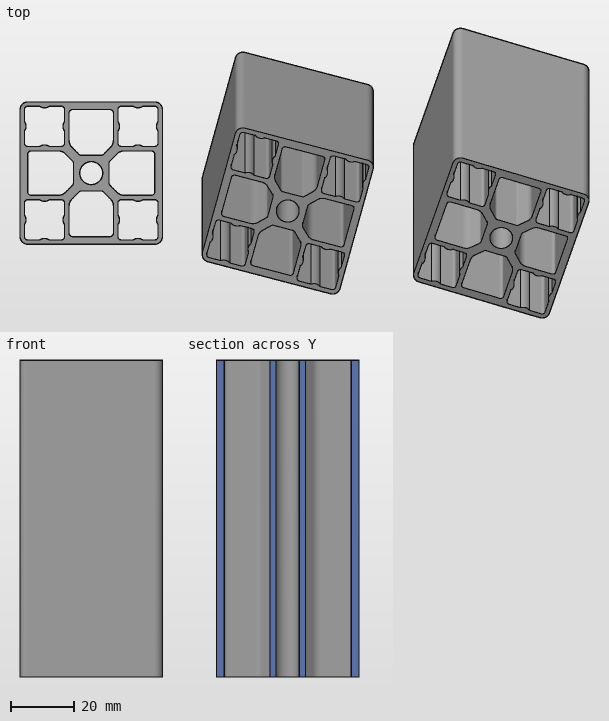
import cadquery as cq
import math

side = 45.0
length = 100.0
outer_radius = 2.5
bore_diameter = 7.2

middle_skin = 2.5
middle_half_width = 6.95
middle_inner = 5.65
middle_outer = side / 2 - middle_skin
middle_radius = 1.0
middle_chamfer = 3.4
shoulder_radius = 3.0
neck_radius = 1.0

cell_skin = 1.45
rib = 1.5
cell_radius = 1.0

ridge_height = 0.5
ridge_half_width = 1.5

cell_outer = side / 2 - cell_skin
cell_inner = middle_half_width + rib
cell_centre = (cell_outer + cell_inner) / 2
cell_half = (cell_outer - cell_inner) / 2


def rotate(point, quarter_turns):
    """Turn a 2D point about the origin by whole quarter turns."""
    x, y = point
    for _ in range(quarter_turns):
        x, y = -y, x
    return x, y


def corner_cell():
    """Square cell with a rounded ridge in the middle of every wall."""
    wall = -cell_half
    crest = wall + ridge_height
    corner_start = cell_half - cell_radius
    corner_mid = corner_start + cell_radius * math.sqrt(0.5)

    profile = cq.Workplane("XY").moveTo(-corner_start, wall)
    for turn in range(4):
        ridge_start = rotate((-ridge_half_width, wall), turn)
        ridge_crest = rotate((0, crest), turn)
        ridge_end = rotate((ridge_half_width, wall), turn)
        arc_start = rotate((corner_start, wall), turn)
        arc_mid = rotate((corner_mid, -corner_mid), turn)
        arc_end = rotate((cell_half, -corner_start), turn)
        profile = (
            profile.lineTo(*ridge_start)
            .threePointArc(ridge_crest, ridge_end)
            .lineTo(*arc_start)
            .threePointArc(arc_mid, arc_end)
        )
    return profile.close().extrude(length)


def middle_cell():
    """Cell on the +X side whose two corners nearest the bore are cut at 45 degrees."""
    shoulder_x = middle_inner + middle_chamfer
    neck_half_width = middle_half_width - middle_chamfer
    cell = (
        cq.Workplane("XY")
        .moveTo(middle_outer, -middle_half_width)
        .lineTo(middle_outer, middle_half_width)
        .lineTo(shoulder_x, middle_half_width)
        .lineTo(middle_inner, neck_half_width)
        .lineTo(middle_inner, -neck_half_width)
        .lineTo(shoulder_x, -middle_half_width)
        .close()
        .extrude(length)
    )
    cell = cell.edges("|Z and >X").fillet(middle_radius)
    cell = cell.edges("|Z and <X").fillet(neck_radius)
    for shoulder_y in (-middle_half_width, middle_half_width):
        shoulder = cq.selectors.NearestToPointSelector((shoulder_x, shoulder_y, length / 2))
        cell = cell.edges(shoulder).fillet(shoulder_radius)
    return cell


def square_bar():
    """Square bar with rounded long edges and a bore along its axis."""
    bar = cq.Workplane("XY").rect(side, side).extrude(length)
    bar = bar.edges("|Z").fillet(outer_radius)
    return bar.faces(">Z").workplane().hole(bore_diameter)


result = square_bar()

for sign_x in (-1, 1):
    for sign_y in (-1, 1):
        offset = (sign_x * cell_centre, sign_y * cell_centre, 0)
        result = result.cut(corner_cell().translate(offset))

for angle in range(0, 360, 90):
    result = result.cut(middle_cell().rotate((0, 0, 0), (0, 0, 1), angle))